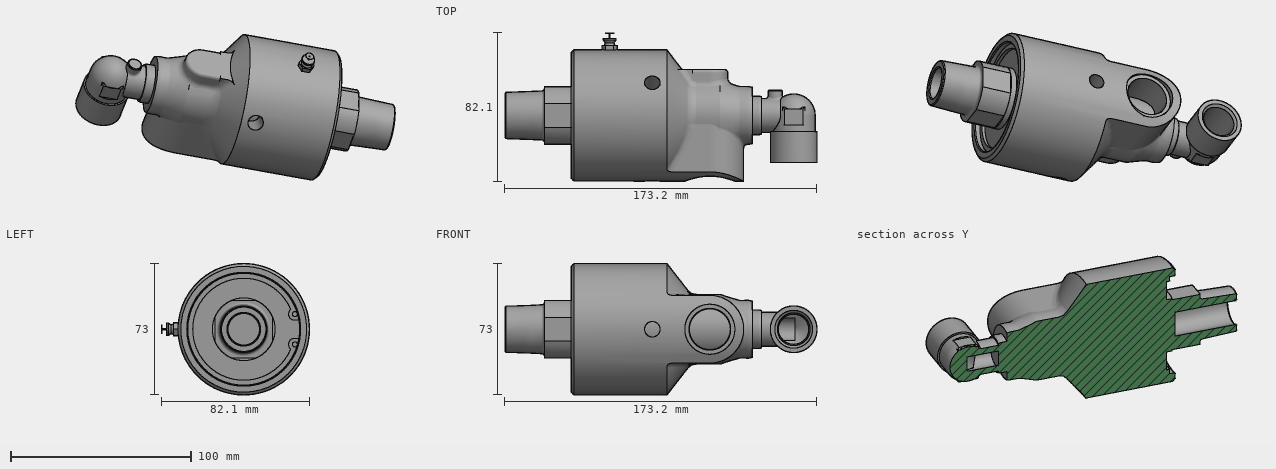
import cadquery as cq
import math


OVERCUT = 1.0
BOSS_OVERLAP = 10.0
EDGE_TOLERANCE = 0.02

THREAD_TIP_R = 12.9
THREAD_END_R = 13.65
THREAD_TIP_CHAMFER = 0.6
THREAD_LENGTH = 20.5
ROTOR_FILLET_R = 1.4
ROTOR_R = 34.8 / 2
WRENCH_CORNER_R = 17.3
ROTOR_FLATS = 32.0
ROTOR_BORE_R = 17.5 / 2
ROTOR_BORE_CHAMFER = 0.6
ROTOR_START_X = THREAD_LENGTH + ROTOR_FILLET_R

HOUSING_R = 73.0 / 2
HOUSING_START_X = 36.7
HOUSING_CHAMFER = 1.6
CONE_START_X = 89.9
CONE_SLOPE = 1.284
NECK_R = 19.4
NECK_CONE_FILLET = 6.0
NECK_TAPER_START_X = 119.4
NECK_TAPER_END_X = 130.2
COLLAR_R = 16.1
COLLAR_LIP_R = 15.7
COLLAR_LIP_X = 135.2
COLLAR_END_X = 137.3
NECK_CORNER_X = CONE_START_X + (HOUSING_R - NECK_R) / CONE_SLOPE

RECESS_R = 62.05 / 2
RECESS_DEPTH = 5.0
RECESS_CHAMFER = 0.6
RECESS_FLOOR_X = HOUSING_START_X + RECESS_DEPTH
ROTOR_FLATS_END_X = 38.6
RING_THICKNESS = 1.8
RING_INNER_R = 28.3
RING_GAP = 10.0
LUG_R = 3.5
LUG_Y = -28.4
LUG_Z = 8.4
LUG_HOLE_DIAMETER = 2.79

PORT_X = 113.7
PORT_BOSS_R = 18.8
PORT_BOSS_FILLET = 2.0
PORT_COUNTERBORE_R = 27.8 / 2
PORT_COUNTERBORE_FLOOR_Y = -33.0
PORT_BORE_MOUTH_R = 11.6
PORT_BORE_END_R = 22.63 / 2
PORT_BORE_END_Y = -15.0
PORT_CORE_R = 17.0

PAD_BOSS_R = 10.0
PAD_BOSS_Y = 25.6
PAD_BOSS_ROUND = 2.0
PAD_BOSS_ROUND_START_X = 104.0
PAD_BOSS_FILLET = 3.8

VENT_X = 81.8
VENT_DIAMETER = 8.6
VENT_COUNT = 3
VENT_FLOOR_R = 21.0

ELBOW_NUT_R = 10.8
ELBOW_NUT_STEP_R = 10.4
ELBOW_NUT_STEP_X = 141.0
ELBOW_NUT_END_X = 142.4
ELBOW_STUB_R = 19.0 / 2
ELBOW_SOCKET_R = 26.0 / 2
ELBOW_X = 173.22 - ELBOW_SOCKET_R
ELBOW_BODY_R = 12.0
SOCKET_TOP_Y = -8.9
SOCKET_MOUTH_Y = -26.2
SOCKET_MOUTH_R = 10.5
SOCKET_CHAMFER_DEPTH = 1.4
SOCKET_BORE_TOP_R = 9.1
SOCKET_BORE_END_R = 16.68 / 2
SOCKET_BORE_END_Y = -1.2
DRILL_POINT_HALF_ANGLE = 59.0
CROSS_BORE_R = 12.7 / 2
CROSS_BORE_END_X = ELBOW_X + 0.6
WRENCH_PAD_LENGTH = 12.4
WRENCH_PAD_MIN_Y = -5.2
WRENCH_PAD_MAX_Y = 4.7
WRENCH_PAD_HEIGHT = 11.0
WRENCH_PAD_CHAMFER = 1.1
PLUG_X = 150.0
PLUG_R = 4.0
PLUG_TOP_Y = 14.1
PLUG_TOP_CHAMFER = 0.5
PLUG_BASE_FILLET = 1.5

NIPPLE_X = 58.1
NIPPLE_HEX_CORNERS = 8.6
NIPPLE_HEX_TOP_Y = 38.9
NIPPLE_ROOT_Y = 34.0
NIPPLE_NECK_R = 3.05
NIPPLE_WAIST_R = 2.4
NIPPLE_HEAD_R = 3.6
NIPPLE_WAIST_Y = 40.3
NIPPLE_HEAD_Y = 41.8
NIPPLE_HEAD_TOP_Y = 42.8
NIPPLE_PIN_R = 0.3
NIPPLE_TIP_R = 2.3
NIPPLE_TIP_THICKNESS = 0.15
NIPPLE_TIP_Y = 82.13 - HOUSING_R


def cylinder_x(radius, start_x, end_x):
    """Cylinder about the X axis."""
    return cq.Workplane("YZ").workplane(offset=start_x).circle(radius).extrude(end_x - start_x)


def revolve_x(points):
    """Solid of revolution about X from (x, radius) points that start and end on the axis."""
    return cq.Workplane("XY").polyline(points).close().revolve(360, (0, 0, 0), (1, 0, 0))


def revolve_y(center_x, points):
    """Solid of revolution about the Y line at center_x from (radius, y) points."""
    outline = cq.Workplane("XY").polyline([(center_x + r, y) for r, y in points]).close()
    return outline.revolve(360, (center_x, 0, 0), (center_x, 1, 0))


def box_between(low, high):
    """Box from its lowest corner to its highest corner."""
    size = [b - a for a, b in zip(low, high)]
    return cq.Workplane("XY").box(*size, centered=False).translate(low)


def tongue(radius, start_x, y_low, y_high):
    """Prism along Y with flat sides and one round end centred at the port position."""
    outline = (
        cq.Workplane("XZ", origin=(0, y_high, 0))
        .moveTo(start_x, radius)
        .lineTo(PORT_X, radius)
        .threePointArc((PORT_X + radius, 0), (PORT_X, -radius))
        .lineTo(start_x, -radius)
        .close()
    )
    return outline.extrude(y_high - y_low)


def make_housing_core():
    return revolve_x([
        (HOUSING_START_X, 0),
        (HOUSING_START_X, HOUSING_R - HOUSING_CHAMFER),
        (HOUSING_START_X + HOUSING_CHAMFER, HOUSING_R),
        (CONE_START_X, HOUSING_R),
        (NECK_CORNER_X, NECK_R),
        (NECK_TAPER_START_X, NECK_R),
        (NECK_TAPER_END_X, COLLAR_R),
        (COLLAR_LIP_X, COLLAR_R),
        (COLLAR_END_X, COLLAR_LIP_R),
        (COLLAR_END_X, 0),
    ])


def fillet_boss_foot(solid, boss_r, rim_y, radius):
    """Round the inside edge where a boss, whose flanks end at the height rim_y, leaves the core.

    Edges in a plane of constant X and edges at the rim itself are not part of the foot.
    """
    foot_box = cq.selectors.BoxSelector(
        (CONE_START_X - EDGE_TOLERANCE, 0, -boss_r - EDGE_TOLERANCE),
        (PORT_X + boss_r + EDGE_TOLERANCE, rim_y * (1 + EDGE_TOLERANCE), boss_r + EDGE_TOLERANCE),
        boundingbox=True,
    )
    foot_edges = []
    for edge in solid.edges(foot_box).vals():
        below_rim = abs(edge.Center().y) < abs(rim_y) - EDGE_TOLERANCE
        if below_rim and edge.BoundingBox().xlen > EDGE_TOLERANCE:
            foot_edges.append(edge)
    return solid.newObject(foot_edges).fillet(radius)


def add_port_boss(housing):
    boss = tongue(PORT_BOSS_R, CONE_START_X - BOSS_OVERLAP, -HOUSING_R - OVERCUT, 0)
    boss = boss.intersect(cylinder_x(HOUSING_R, HOUSING_START_X, ELBOW_X))
    rim_y = -math.sqrt(HOUSING_R**2 - PORT_BOSS_R**2)
    return fillet_boss_foot(housing.union(boss), PORT_BOSS_R, rim_y, PORT_BOSS_FILLET)


def fillet_neck(housing):
    """Round the corner between the cone and the neck."""
    corner = cq.selectors.BoxSelector(
        (NECK_CORNER_X - EDGE_TOLERANCE, -HOUSING_R, -HOUSING_R),
        (NECK_CORNER_X + EDGE_TOLERANCE, HOUSING_R, HOUSING_R),
        boundingbox=True,
    )
    return housing.edges(corner).fillet(NECK_CONE_FILLET)


def add_pad_boss(housing):
    boss = tongue(PAD_BOSS_R, CONE_START_X, 0, PAD_BOSS_Y)
    housing = fillet_boss_foot(housing.union(boss), PAD_BOSS_R, PAD_BOSS_Y, PAD_BOSS_FILLET)
    round_base_y = PAD_BOSS_Y - PAD_BOSS_ROUND
    rounded_top = tongue(PAD_BOSS_R, CONE_START_X, round_base_y - OVERCUT, PAD_BOSS_Y)
    rounded_top = rounded_top.edges(">Y").edges("not <X").fillet(PAD_BOSS_ROUND)
    rim = tongue(PAD_BOSS_R + OVERCUT, PAD_BOSS_ROUND_START_X, round_base_y, PAD_BOSS_Y + OVERCUT)
    return housing.cut(rim.cut(rounded_top))


def cut_port(housing):
    counterbore = revolve_y(PORT_X, [
        (0, -HOUSING_R - OVERCUT),
        (PORT_COUNTERBORE_R, -HOUSING_R - OVERCUT),
        (PORT_COUNTERBORE_R, PORT_COUNTERBORE_FLOOR_Y),
        (PORT_BORE_MOUTH_R, PORT_COUNTERBORE_FLOOR_Y),
        (PORT_BORE_END_R, PORT_BORE_END_Y),
        (PORT_BORE_END_R, 0),
        (0, 0),
    ])
    return housing.cut(counterbore.cut(cylinder_x(PORT_CORE_R, HOUSING_START_X, ELBOW_X)))


def cut_vents(housing):
    drill = cq.Workplane("XZ").center(VENT_X, 0).circle(VENT_DIAMETER / 2).extrude(HOUSING_R + OVERCUT)
    drill = drill.cut(cylinder_x(VENT_FLOOR_R, HOUSING_START_X, CONE_START_X))
    for index in range(VENT_COUNT):
        housing = housing.cut(drill.rotate((0, 0, 0), (1, 0, 0), index * 360 / VENT_COUNT))
    return housing


def cut_recess(housing):
    recess = revolve_x([
        (HOUSING_START_X, 0),
        (HOUSING_START_X, RECESS_R + RECESS_CHAMFER),
        (HOUSING_START_X + RECESS_CHAMFER, RECESS_R),
        (RECESS_FLOOR_X, RECESS_R),
        (RECESS_FLOOR_X, 0),
    ])
    return housing.cut(recess)


def make_snap_ring():
    start_x = RECESS_FLOOR_X - RING_THICKNESS
    ring = cylinder_x(RECESS_R, start_x, RECESS_FLOOR_X)
    ring = ring.cut(cylinder_x(RING_INNER_R, start_x, RECESS_FLOOR_X))
    lug_points = [(LUG_Y, LUG_Z), (LUG_Y, -LUG_Z)]
    lug_plane = cq.Workplane("YZ", origin=(start_x, 0, 0)).pushPoints(lug_points)
    lugs = lug_plane.circle(LUG_R).extrude(RING_THICKNESS)
    holes = lug_plane.circle(LUG_HOLE_DIAMETER / 2).extrude(RING_THICKNESS)
    gap = box_between(
        (start_x, -HOUSING_R, -RING_GAP / 2),
        (RECESS_FLOOR_X, 0, RING_GAP / 2),
    )
    ring = ring.union(lugs).intersect(cylinder_x(RECESS_R, start_x, RECESS_FLOOR_X))
    return ring.cut(holes).cut(gap)


def make_rotor():
    arc_middle = ROTOR_FILLET_R * math.sqrt(0.5)
    fillet_top_r = THREAD_END_R + ROTOR_FILLET_R
    thread = (
        cq.Workplane("XY")
        .lineTo(0, THREAD_TIP_R - THREAD_TIP_CHAMFER)
        .lineTo(THREAD_TIP_CHAMFER, THREAD_TIP_R)
        .lineTo(THREAD_LENGTH, THREAD_END_R)
        .threePointArc(
            (THREAD_LENGTH + arc_middle, fillet_top_r - arc_middle),
            (ROTOR_START_X, fillet_top_r),
        )
        .lineTo(ROTOR_START_X, 0)
        .close()
        .revolve(360, (0, 0, 0), (1, 0, 0))
    )
    wrench_section = cylinder_x(WRENCH_CORNER_R, ROTOR_START_X, ROTOR_FLATS_END_X)
    wrench_section = wrench_section.intersect(
        box_between(
            (ROTOR_START_X, -ROTOR_FLATS / 2, -ROTOR_FLATS / 2),
            (ROTOR_FLATS_END_X, ROTOR_FLATS / 2, ROTOR_FLATS / 2),
        )
    )
    flange = cylinder_x(ROTOR_R, ROTOR_FLATS_END_X, RECESS_FLOOR_X)
    bore = revolve_x([
        (0, 0),
        (0, ROTOR_BORE_R + ROTOR_BORE_CHAMFER),
        (ROTOR_BORE_CHAMFER, ROTOR_BORE_R),
        (HOUSING_START_X, ROTOR_BORE_R),
        (HOUSING_START_X, 0),
    ])
    return thread.union(wrench_section).union(flange).cut(bore)


def add_wrench_pads(body):
    """Raised pad with a flat top on the +Z and -Z sides of the elbow."""
    half_length = WRENCH_PAD_LENGTH / 2
    pads = box_between(
        (ELBOW_X - half_length, WRENCH_PAD_MIN_Y, -WRENCH_PAD_HEIGHT),
        (ELBOW_X + half_length, WRENCH_PAD_MAX_Y, WRENCH_PAD_HEIGHT),
    )
    for face in (">Z", "<Z"):
        pads = pads.faces(face).edges(">X or <X or >Y").chamfer(WRENCH_PAD_CHAMFER)
    body = body.union(pads)
    for top_z in (WRENCH_PAD_HEIGHT, -WRENCH_PAD_HEIGHT - ELBOW_BODY_R):
        flat_cutter = box_between(
            (ELBOW_X - half_length, WRENCH_PAD_MIN_Y, top_z),
            (ELBOW_X + half_length, WRENCH_PAD_MAX_Y - WRENCH_PAD_CHAMFER, top_z + ELBOW_BODY_R),
        )
        body = body.cut(flat_cutter)
    return body


def make_elbow():
    nut = revolve_x([
        (COLLAR_END_X, 0),
        (COLLAR_END_X, ELBOW_NUT_R),
        (ELBOW_NUT_STEP_X, ELBOW_NUT_R),
        (ELBOW_NUT_END_X, ELBOW_NUT_STEP_R),
        (ELBOW_NUT_END_X, 0),
    ])
    stub = cylinder_x(ELBOW_STUB_R, ELBOW_NUT_END_X, ELBOW_X)
    plug = cq.Workplane("XZ", origin=(PLUG_X, 0, 0)).circle(PLUG_R).extrude(-PLUG_TOP_Y)
    plug = plug.faces(">Y").chamfer(PLUG_TOP_CHAMFER)
    plug_foot = cq.selectors.BoxSelector(
        (PLUG_X - PLUG_R - 1, 0, -PLUG_R - 1),
        (PLUG_X + PLUG_R + 1, ELBOW_STUB_R + 1, PLUG_R + 1),
        boundingbox=True,
    )
    stub = stub.union(plug).edges(plug_foot).fillet(PLUG_BASE_FILLET)
    dome_middle = ELBOW_BODY_R * math.sqrt(0.5)
    body = (
        cq.Workplane("XY", origin=(ELBOW_X, 0, 0))
        .moveTo(0, ELBOW_BODY_R)
        .threePointArc((dome_middle, dome_middle), (ELBOW_BODY_R, 0))
        .lineTo(ELBOW_BODY_R, SOCKET_TOP_Y)
        .lineTo(ELBOW_SOCKET_R, SOCKET_TOP_Y)
        .lineTo(ELBOW_SOCKET_R, SOCKET_MOUTH_Y)
        .lineTo(0, SOCKET_MOUTH_Y)
        .close()
        .revolve(360, (0, 0, 0), (0, 1, 0))
    )
    drill_point = SOCKET_BORE_END_R / math.tan(math.radians(DRILL_POINT_HALF_ANGLE))
    socket_bore = revolve_y(ELBOW_X, [
        (0, SOCKET_MOUTH_Y),
        (SOCKET_MOUTH_R, SOCKET_MOUTH_Y),
        (SOCKET_BORE_TOP_R, SOCKET_MOUTH_Y + SOCKET_CHAMFER_DEPTH),
        (SOCKET_BORE_END_R, SOCKET_BORE_END_Y),
        (0, SOCKET_BORE_END_Y + drill_point),
    ])
    cross_bore = cylinder_x(CROSS_BORE_R, ELBOW_NUT_END_X, CROSS_BORE_END_X)
    body = add_wrench_pads(body)
    return nut.union(stub).union(body).cut(socket_bore).cut(cross_bore)


def make_nipple():
    hexagon = (
        cq.Workplane("XZ", origin=(NIPPLE_X, NIPPLE_HEX_TOP_Y, 0))
        .polygon(6, NIPPLE_HEX_CORNERS)
        .extrude(NIPPLE_HEX_TOP_Y - NIPPLE_ROOT_Y)
    )
    tip_base_y = NIPPLE_TIP_Y - NIPPLE_TIP_THICKNESS
    stem = revolve_y(NIPPLE_X, [
        (0, NIPPLE_HEX_TOP_Y),
        (NIPPLE_NECK_R, NIPPLE_HEX_TOP_Y),
        (NIPPLE_WAIST_R, NIPPLE_WAIST_Y),
        (NIPPLE_HEAD_R, NIPPLE_HEAD_Y),
        (NIPPLE_HEAD_R, NIPPLE_HEAD_TOP_Y),
        (NIPPLE_PIN_R, NIPPLE_HEAD_TOP_Y),
        (NIPPLE_PIN_R, tip_base_y),
        (NIPPLE_TIP_R, tip_base_y),
        (NIPPLE_TIP_R, NIPPLE_TIP_Y),
        (0, NIPPLE_TIP_Y),
    ])
    return hexagon.union(stem)


housing = fillet_neck(add_port_boss(make_housing_core()))
housing = add_pad_boss(housing)
housing = cut_recess(cut_vents(cut_port(housing)))
result = housing.union(make_snap_ring()).union(make_rotor()).union(make_elbow()).union(make_nipple())